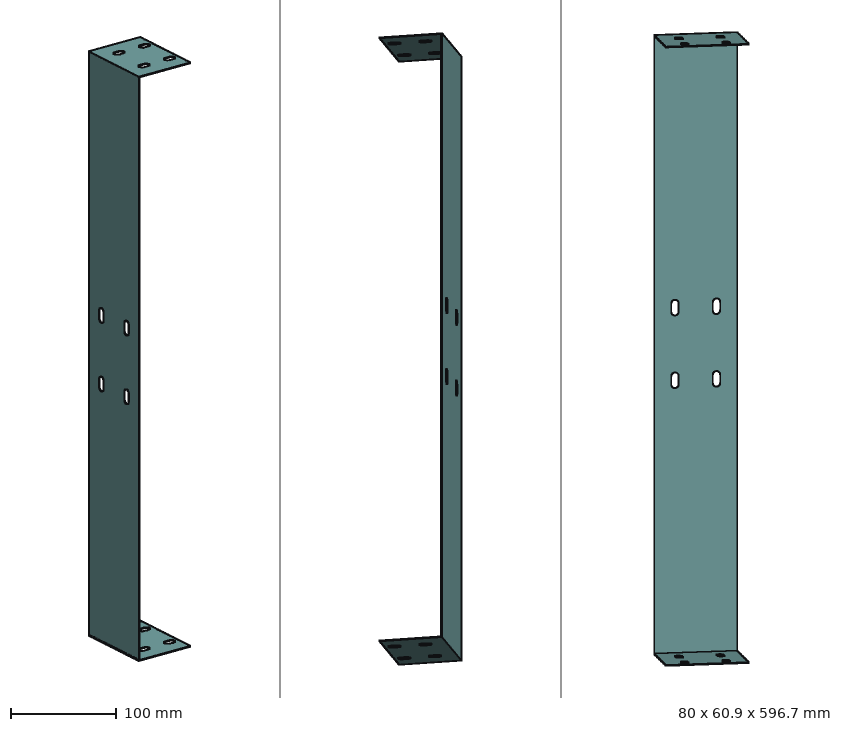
import cadquery as cq

thickness = 1.0
width = 80.0
outer_depth = 60.87
outer_height = 596.74
inner_height = outer_height - 2 * thickness

slot_width = 7.0
slot_spacing_x = 40.0
upright = 90

web_slot_length = 15.0
web_slot_spacing_z = 70.0

flange_slot_length = 12.0
flange_slot_spacing_y = 30.0
first_flange_slot_offset = 20.0


def channel():
    """U-shaped sheet with its outer web face on Y = 0, centred on X and Z."""
    centering = (True, False, True)
    outer = cq.Workplane("XY").box(width, outer_depth, outer_height, centered=centering)
    inner = cq.Workplane("XY").box(width, outer_depth, inner_height, centered=centering)
    return outer.cut(inner.translate((0, thickness, 0)))


def web_slots():
    """Four slots through the web, long side along Z."""
    return (
        cq.Workplane("XZ", origin=(0, thickness, 0))
        .rarray(slot_spacing_x, web_slot_spacing_z, 2, 2)
        .slot2D(web_slot_length, slot_width, upright)
        .extrude(thickness)
    )


def flange_slots():
    """Four slots, long side along Y, running through both flanges."""
    pattern_centre_y = thickness + first_flange_slot_offset + flange_slot_spacing_y / 2
    return (
        cq.Workplane("XY", origin=(0, pattern_centre_y, -outer_height / 2))
        .rarray(slot_spacing_x, flange_slot_spacing_y, 2, 2)
        .slot2D(flange_slot_length, slot_width, upright)
        .extrude(outer_height)
    )


result = channel().cut(web_slots()).cut(flange_slots())